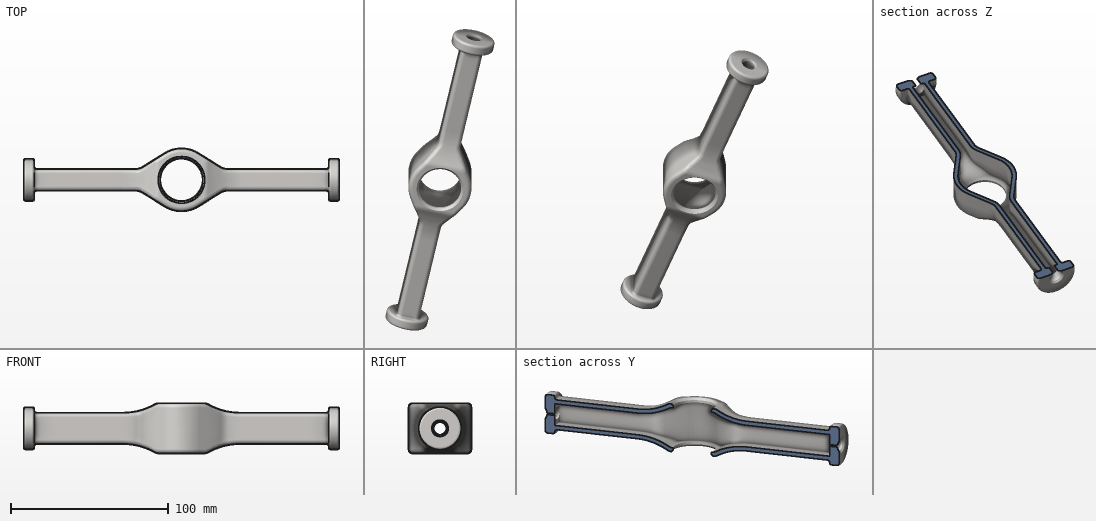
import cadquery as cq
import math

length = 200.8
wall = 3.0
hub_radius = 20.0
hub_height = 32.1

arm_width = 14.0
arm_height = 20.0
flank_angle = math.radians(32)
flank_blend_radius = 8.0
long_edge_radius = 2.8

hub_flat_half = 14.0
swell_start = 37.1
shoulder_radius = 6.0

flange_diameter = 27.1
flange_thickness = 6.8
flange_edge_radius = 1.6
root_radius = 1.2

hub_bore_diameter = 27.0
hub_bore_chamfer = 1.5
arm_bore_diameter = 8.0
arm_bore_chamfer = 1.2

flange_face = length / 2 - flange_thickness


def mirror_twice(quarter, first_plane, second_plane):
    """Complete a quarter of a solid across two planes of symmetry."""
    half = quarter.union(quarter.mirror(first_plane))
    return half.union(half.mirror(second_plane)).clean()


def plan_prism(inset):
    """Outline along Z: round hub, straight tangent flanks, blended into the arms."""
    radius = hub_radius - inset
    half_width = arm_width / 2 - inset
    sine = math.sin(flank_angle)
    cosine = math.cos(flank_angle)
    corner_x = (radius - half_width * cosine) / sine
    blend_length = (flank_blend_radius + inset) * math.tan(flank_angle / 2)
    half_turn = flank_angle / 2

    quarter = (
        cq.Workplane("XY")
        .lineTo(0, radius)
        .threePointArc(
            (radius * math.sin(half_turn), radius * math.cos(half_turn)),
            (radius * sine, radius * cosine),
        )
        .lineTo(corner_x - blend_length * cosine, half_width + blend_length * sine)
        .tangentArcPoint((corner_x + blend_length, half_width), relative=False)
        .lineTo(flange_face, half_width)
        .lineTo(flange_face, 0)
        .close()
        .extrude(hub_height / 2, both=True)
    )
    return mirror_twice(quarter, "XZ", "YZ")


def side_prism(inset):
    """Outline along Y: arm height swelling to hub height through two tangent arcs."""
    half_arm = arm_height / 2 - inset
    half_hub = hub_height / 2 - inset
    inset_shoulder = shoulder_radius - inset
    run = swell_start - hub_flat_half
    rise = half_hub - half_arm
    radius_sum = (run**2 + rise**2) / (2 * rise)
    turn = math.asin(run / radius_sum)
    shoulder_end = (
        hub_flat_half + inset_shoulder * math.sin(turn),
        half_hub - inset_shoulder * (1 - math.cos(turn)),
    )

    quarter = (
        cq.Workplane("XZ")
        .lineTo(0, half_hub)
        .lineTo(hub_flat_half, half_hub)
        .tangentArcPoint(shoulder_end, relative=False)
        .tangentArcPoint((swell_start, half_arm), relative=False)
        .lineTo(flange_face, half_arm)
        .lineTo(flange_face, 0)
        .close()
        .extrude(hub_radius, both=True)
    )
    return mirror_twice(quarter, "XY", "YZ")


def hub_and_arms(inset=0):
    """Body common to both outlines, shrunk by the inset on all sides but its ends."""
    return plan_prism(inset).intersect(side_prism(inset))


def right_flange():
    """Round disc with softened rims at the +X end."""
    return (
        cq.Workplane("YZ", origin=(flange_face, 0, 0))
        .circle(flange_diameter / 2)
        .extrude(flange_thickness)
        .edges()
        .fillet(flange_edge_radius)
    )


def add_flanges(part):
    """Join a flange to each arm and blend the arm into it."""
    flange = right_flange()
    part = part.union(flange).union(flange.mirror("YZ"))
    margin = root_radius / 2
    reach = math.hypot(arm_width, arm_height) / 2
    for x in (-flange_face, flange_face):
        root = cq.selectors.BoxSelector(
            (x - margin, -reach, -reach), (x + margin, reach, reach), boundingbox=True
        )
        part = part.edges(root).fillet(root_radius)
    return part


def chamfered_bore(plane, diameter, depth, chamfer):
    """Cutter centred on the origin for a through bore with a chamfer at both mouths."""
    radius = diameter / 2
    wide = radius + chamfer
    half = depth / 2
    bore = cq.Workplane(plane).circle(radius).extrude(half, both=True)
    for end in (-1, 1):
        mouth = (
            cq.Workplane(plane)
            .workplane(offset=end * half)
            .circle(wide)
            .workplane(offset=-end * chamfer)
            .circle(radius)
            .loft()
        )
        bore = bore.union(mouth)
    return bore


hub_bore = chamfered_bore("XY", hub_bore_diameter, hub_height, hub_bore_chamfer)
arm_bore = chamfered_bore("YZ", arm_bore_diameter, length, arm_bore_chamfer)

outside = hub_and_arms().edges("not(|Y or |Z)").fillet(long_edge_radius)
cavity = hub_and_arms(inset=wall)

result = add_flanges(outside).cut(cavity).cut(hub_bore).cut(arm_bore)